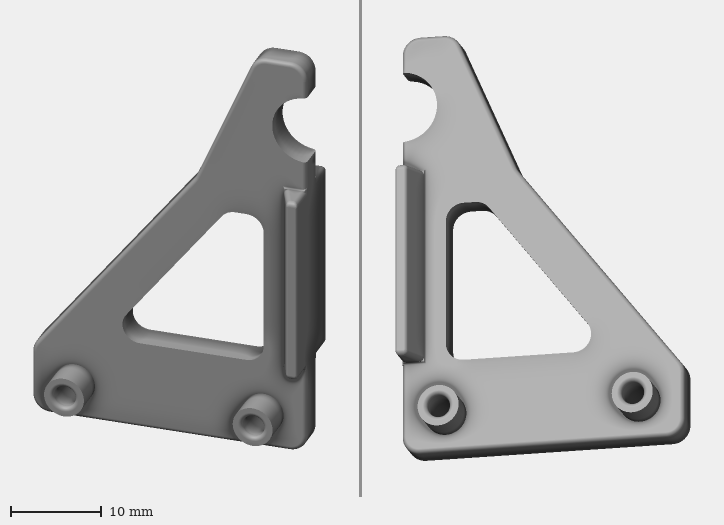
import cadquery as cq
import math

plate_width = 32.0
plate_height = 48.0
plate_thickness = 3.5
corner_radius = 2.0
edge_radius = 0.5

shoulder_height = 8.0
kink_x = 19.0
kink_z = 32.0
top_left_x = 26.0

notch_radius = 4.0
notch_z = 40.0

window_right = 27.0
window_bottom = 10.4
window_top = 28.5
slant_band = 5.1
window_radius = corner_radius

boss_diameter = 4.65
boss_length = 11.0
boss_z = 4.2
boss_x_positions = (5.0, 27.0)
bore_diameter = 2.5
bore_lip_radius = 0.5

rail_bottom = 10.45
rail_top = 32.5
rail_width = 10.0
rail_root_x = 29.4
rail_tip_x = 30.75
rail_tip_radius = 0.4
rail_back_radius = 0.25
rail_end_radius = 0.6
rail_root_radius = 0.2

face_y = plate_thickness / 2
tip_y = rail_width / 2
search_margin = 0.05


def slab(outline):
    """Extrude a closed XZ outline to the plate thickness, symmetric about Y = 0."""
    return cq.Workplane("XZ").polyline(outline).close().extrude(face_y, both=True)


def cylinder_along_y(x, z, diameter, length):
    """Cylinder along Y, symmetric about Y = 0."""
    return cq.Workplane("XZ").center(x, z).circle(diameter / 2).extrude(length / 2, both=True)


def edges_within(low, high):
    """Selector for the edges that lie wholly inside a box, with a small margin."""
    low = [value - search_margin for value in low]
    high = [value + search_margin for value in high]
    return cq.selectors.BoxSelector(low, high, boundingbox=True)


def make_plate():
    outline = [
        (0, 0),
        (plate_width, 0),
        (plate_width, plate_height),
        (top_left_x, plate_height),
        (kink_x, kink_z),
        (0, shoulder_height),
    ]
    plate = slab(outline).edges("|Y").fillet(corner_radius)
    return plate.faces("<Y or >Y").edges().fillet(edge_radius)


def make_rail():
    profile = [
        (plate_width, -tip_y),
        (plate_width, tip_y),
        (rail_tip_x, tip_y),
        (rail_root_x, face_y),
        (rail_root_x, -face_y),
        (rail_tip_x, -tip_y),
    ]
    rail = cq.Workplane("XY", origin=(0, 0, rail_bottom)).polyline(profile).close()
    rail = rail.extrude(rail_top - rail_bottom)
    for y in (-tip_y, tip_y):
        tip_edge = edges_within((rail_tip_x, y, rail_bottom), (rail_tip_x, y, rail_top))
        rail = rail.edges(tip_edge).fillet(rail_tip_radius)
    rail = rail.faces(">X").edges("|Z").fillet(rail_back_radius)
    return rail.faces("<Z or >Z").edges().fillet(rail_end_radius)


def make_rail_root():
    """Concave blend from the rail to the plate, with mitred corners where side and ends meet."""
    r = rail_root_radius
    lean = math.atan2(rail_tip_x - rail_root_x, tip_y - face_y)
    setback = r * math.tan((math.pi / 2 - lean) / 2)
    side = (
        cq.Workplane("XY", origin=(0, 0, rail_bottom - r))
        .moveTo(plate_width, 0)
        .lineTo(rail_root_x - setback, 0)
        .lineTo(rail_root_x - setback, face_y)
        .radiusArc((rail_root_x + setback * math.sin(lean), face_y + setback * math.cos(lean)), -r)
        .lineTo(rail_root_x + r * math.tan(lean), face_y + r)
        .lineTo(plate_width - edge_radius, face_y + r)
        .radiusArc((plate_width, face_y + r - edge_radius), edge_radius)
        .lineTo(plate_width, 0)
        .close()
        .extrude(rail_top - rail_bottom + 2 * r)
    )
    ends = (
        cq.Workplane("YZ")
        .moveTo(0, rail_bottom - r)
        .lineTo(face_y, rail_bottom - r)
        .radiusArc((face_y + r, rail_bottom), r)
        .lineTo(face_y + r, rail_top)
        .radiusArc((face_y, rail_top + r), r)
        .lineTo(0, rail_top + r)
        .close()
        .extrude(plate_width)
    )
    half = side.intersect(ends)
    return half.union(half.mirror("XZ"))


def make_window():
    slope = (kink_z - shoulder_height) / kink_x
    shift = slant_band * math.hypot(1, slope) / slope

    def slant_x(z):
        return (z - shoulder_height) / slope + shift

    outline = [
        (slant_x(window_bottom), window_bottom),
        (window_right, window_bottom),
        (window_right, window_top),
        (slant_x(window_top), window_top),
    ]
    return slab(outline).edges("|Y").fillet(window_radius)


def add_bosses(body):
    for x in boss_x_positions:
        body = body.union(cylinder_along_y(x, boss_z, boss_diameter, boss_length))
        body = body.cut(cylinder_along_y(x, boss_z, bore_diameter, boss_length))
    bore_mouths = cq.selectors.RadiusNthSelector(0)
    return body.faces("<Y or >Y").edges(bore_mouths).fillet(bore_lip_radius)


result = make_plate().union(make_rail()).union(make_rail_root())
result = result.cut(make_window())
result = result.cut(cylinder_along_y(plate_width, notch_z, 2 * notch_radius, plate_thickness))
result = add_bosses(result)